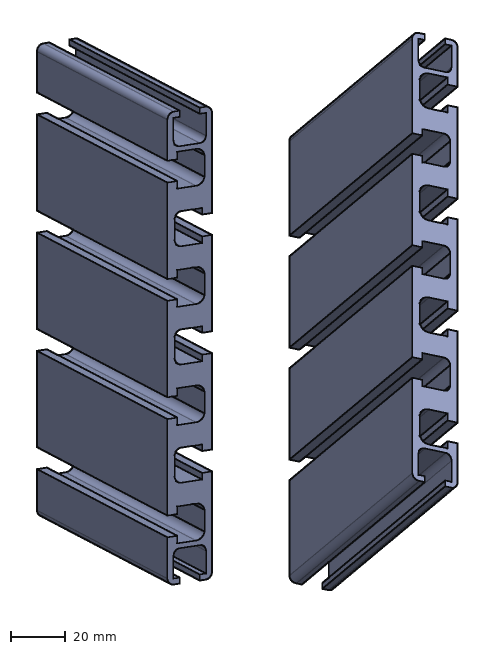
import cadquery as cq

LENGTH = 100.0
THICKNESS = 18.5
HEIGHT = 180.0
EDGE_RADIUS = 2.7

SLOT_PITCH = HEIGHT / 4
OPENING_WIDTH = 8.3
FACE_LIP = 4.1
FACE_WALL = 3.0
FACE_SLOT_DEPTH = THICKNESS - FACE_WALL

FRONT_CAVITY_WIDTH = 14.0
FRONT_RADIUS = 3.6
BACK_CAVITY_WIDTH = 13.3
BACK_RADIUS = 2.7
END_CAVITY_WIDTH = 13.5
END_LIP = 2.3
END_SLOT_DEPTH = 13.5
END_RADIUS = 2.5


def t_slot(cavity_width, lip, depth, floor_radius):
    """T-slot cutter along X, opening at Z = 0 and sunk toward -Z, with rounded floor corners."""
    opening = cq.Workplane("XY").box(LENGTH, OPENING_WIDTH, depth)
    cavity = cq.Workplane("XY").box(LENGTH, cavity_width, depth - lip)
    cavity = cavity.edges("|X and <Z").fillet(floor_radius)
    cavity = cavity.translate((0, 0, -(depth + lip) / 2))
    return cavity.union(opening.translate((0, 0, -depth / 2)))


def turned(cutter, angle):
    """Rotate a cutter about the X axis."""
    return cutter.rotate((0, 0, 0), (1, 0, 0), angle)


result = cq.Workplane("XY").box(LENGTH, THICKNESS, HEIGHT).edges("|X").fillet(EDGE_RADIUS)

front_slot = turned(t_slot(FRONT_CAVITY_WIDTH, FACE_LIP, FACE_SLOT_DEPTH, FRONT_RADIUS), 90)
for step in (-1.5, -0.5, 0.5, 1.5):
    result = result.cut(front_slot.translate((0, -THICKNESS / 2, step * SLOT_PITCH)))

back_slot = turned(t_slot(BACK_CAVITY_WIDTH, FACE_LIP, FACE_SLOT_DEPTH, BACK_RADIUS), -90)
for step in (-1, 0, 1):
    result = result.cut(back_slot.translate((0, THICKNESS / 2, step * SLOT_PITCH)))

end_slot = t_slot(END_CAVITY_WIDTH, END_LIP, END_SLOT_DEPTH, END_RADIUS)
result = result.cut(end_slot.translate((0, 0, HEIGHT / 2)))
result = result.cut(turned(end_slot, 180).translate((0, 0, -HEIGHT / 2)))